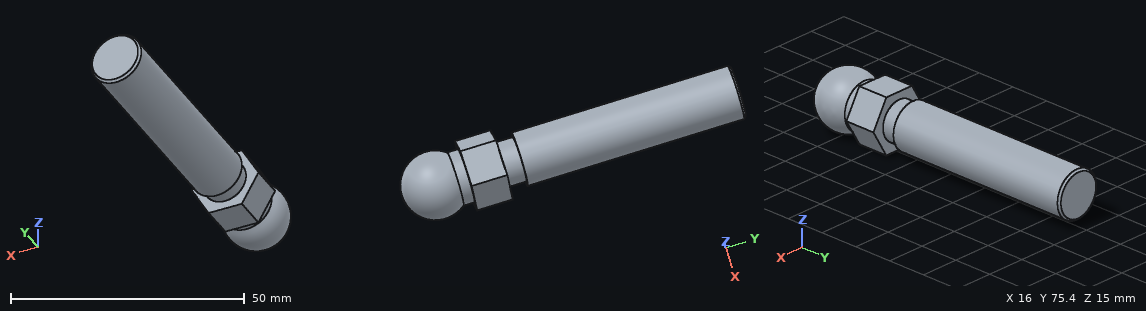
import cadquery as cq
import math

TOTAL_LENGTH = 75.4
BALL_DIAMETER = 15.0
SHANK_DIAMETER = 12.0
NECK_DIAMETER = 10.0
HEX_ACROSS_CORNERS = 16.0
HEX_START = 14.4
HEX_LENGTH = 8.0
NECK_LENGTH = 4.0
END_CHAMFER = 0.5

BALL_RADIUS = BALL_DIAMETER / 2
SHANK_RADIUS = SHANK_DIAMETER / 2
HEX_END = HEX_START + HEX_LENGTH
SHANK_START = HEX_END + NECK_LENGTH

COLLAR_START = BALL_RADIUS + math.sqrt(BALL_RADIUS**2 - SHANK_RADIUS**2)


def section_plane(y):
    """Plane across the axis at y, with its normal along +Y."""
    return cq.Workplane(cq.Plane(origin=(0, y, 0), xDir=(1, 0, 0), normal=(0, 1, 0)))


def cylinder(diameter, start, end):
    return section_plane(start).circle(diameter / 2).extrude(end - start)


def make_ball_stud():
    """Ball, collar, hexagon and neck in one piece."""
    ball_and_collar = (
        cq.Workplane("XY")
        .moveTo(0, 0)
        .threePointArc((BALL_RADIUS, BALL_RADIUS), (SHANK_RADIUS, COLLAR_START))
        .lineTo(SHANK_RADIUS, HEX_START)
        .lineTo(0, HEX_START)
        .close()
        .revolve(360, (0, 0, 0), (0, 1, 0))
    )
    hexagon = section_plane(HEX_START).polygon(6, HEX_ACROSS_CORNERS).extrude(HEX_LENGTH)
    neck = cylinder(NECK_DIAMETER, HEX_END, SHANK_START)
    return ball_and_collar.union(hexagon).union(neck)


def make_shank():
    """Long round bar with a chamfered free end, seated on the end of the neck."""
    bar = cylinder(SHANK_DIAMETER, SHANK_START, TOTAL_LENGTH)
    return bar.faces(">Y").chamfer(END_CHAMFER)


ball_stud = make_ball_stud()
shank = make_shank()

result = cq.Compound.makeCompound([ball_stud.val(), shank.val()])